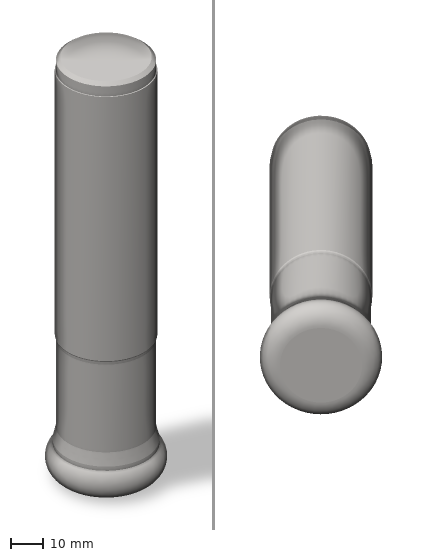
import cadquery as cq
import math

TOTAL_HEIGHT = 152.4

FOOT_RADIUS = 18.97
RIM_RADIUS = 6.2
FOOT_BOTTOM_RADIUS = FOOT_RADIUS - RIM_RADIUS

NECK_RADIUS = 15.5
GRIP_RADIUS = 15.93
FLARE_RADIUS = 16.6
FLARE_BOTTOM_Z = 12.6
FLARE_TOP_Z = 17.2
GRIP_BOTTOM_Z = 50.9
GRIP_TOP_Z = 147.7
GRIP_CHAMFER_WIDTH = 0.23
GRIP_CHAMFER_HEIGHT = 0.5
GRIP_TAPER_HEIGHT = 1.0
TIP_CHAMFER_WIDTH = 1.4
TIP_CHAMFER_HEIGHT = 1.0

FOOT_HEIGHT = RIM_RADIUS + math.sqrt(RIM_RADIUS**2 - (FLARE_RADIUS - FOOT_BOTTOM_RADIUS) ** 2)


def make_foot():
    """Disc whose round rim curves out from the flat bottom and back in to the flared base."""
    return (
        cq.Workplane("XZ")
        .lineTo(FOOT_BOTTOM_RADIUS, 0)
        .threePointArc((FOOT_RADIUS, RIM_RADIUS), (FLARE_RADIUS, FOOT_HEIGHT))
        .lineTo(0, FOOT_HEIGHT)
        .close()
        .revolve(360, (0, 0, 0), (0, 1, 0))
    )


def make_shaft():
    """Solid turned shaft resting on the foot."""
    return (
        cq.Workplane("XZ")
        .moveTo(0, FOOT_HEIGHT)
        .lineTo(FLARE_RADIUS, FOOT_HEIGHT)
        .lineTo(FLARE_RADIUS, FLARE_BOTTOM_Z)
        .lineTo(NECK_RADIUS, FLARE_TOP_Z)
        .lineTo(NECK_RADIUS, GRIP_BOTTOM_Z - GRIP_CHAMFER_HEIGHT - GRIP_TAPER_HEIGHT)
        .lineTo(GRIP_RADIUS - GRIP_CHAMFER_WIDTH, GRIP_BOTTOM_Z - GRIP_CHAMFER_HEIGHT)
        .lineTo(GRIP_RADIUS, GRIP_BOTTOM_Z)
        .lineTo(GRIP_RADIUS, GRIP_TOP_Z)
        .lineTo(NECK_RADIUS, GRIP_TOP_Z)
        .lineTo(NECK_RADIUS, TOTAL_HEIGHT - TIP_CHAMFER_HEIGHT)
        .lineTo(NECK_RADIUS - TIP_CHAMFER_WIDTH, TOTAL_HEIGHT)
        .lineTo(0, TOTAL_HEIGHT)
        .close()
        .revolve(360, (0, 0, 0), (0, 1, 0))
    )


foot = make_foot()
shaft = make_shaft()
result = cq.Compound.makeCompound([foot.val(), shaft.val()])